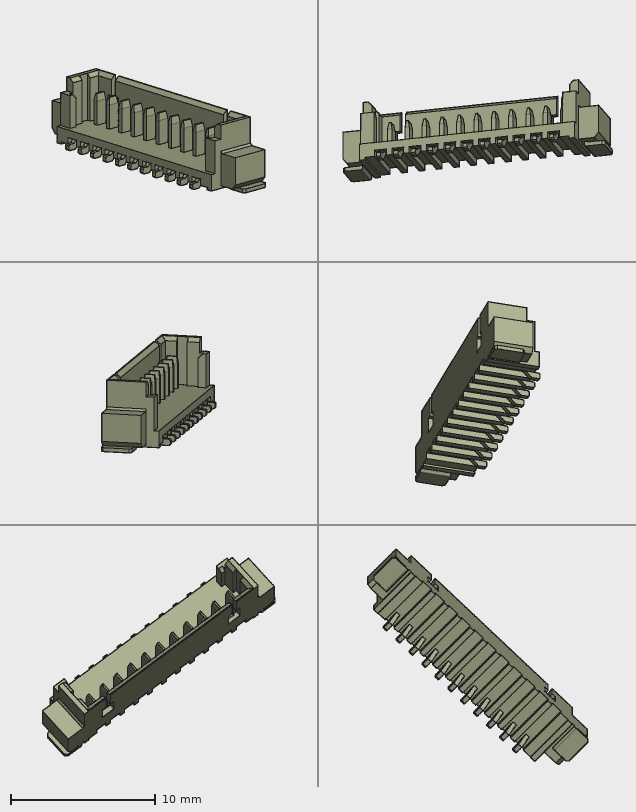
import cadquery as cq

length = 18.9
depth = 4.2
height = 4.7

body_half_length = 7.79
body_front = 0.47
body_bottom = 0.28
floor_top = 1.3
back_wall = 0.4
back_wall_land = 0.08
end_wall = 0.65
end_wall_land = 0.35
end_wall_front = 1.38
rim_bevel_height = 0.28
inner_half_length = body_half_length - end_wall
back_wall_inner = depth - back_wall

notch_front = 2.25
notch_width = 0.75

guide_top = 3.69
guide_front = 0.81
guide_inner_x = 6.82
guide_bevel = 0.3

window_x = 5.65
slit_width = 0.38
window_width = 1.02
window_bottom = 2.1
window_top = 3.23

pocket_x = -5.25
pocket_width = 1.21
pocket_depth = 0.1
pocket_bottom = 1.59
pocket_top = 2.4

foot_width = 0.42
foot_bottom = 0.11

pin_count = 11
pin_row_length = 12.51
pin_pitch = pin_row_length / (pin_count - 1)
pin_width = 0.32
post_front = 2.68
post_depth = 0.83
post_top = 3.55
tip_height = 0.51
tip_width = 0.13
tip_depth = 0.68
lead_top = 0.45
lead_nose_bevel = 0.1
lead_bend_y = 0.6
lead_bend_run = 0.38
channel_width = 0.85
channel_top = 0.74

wing_half_length = 9.25
wing_bottom = 0.32
wing_top = 2.66
wing_ramp = 0.15
wing_bevel_x = 0.3
wing_bevel_z = 0.35
tab_inner_x = 8.01
tab_front = 2.02
tab_corner = 0.17
tab_bend = 0.15
tab_thickness = 0.28

OVERLAP = 0.1
CLEAR = 0.19


def block(x0, x1, y0, y1, z0, z1):
    """Box between two opposite corners."""
    return cq.Workplane("XY").box(x1 - x0, y1 - y0, z1 - z0, centered=False).translate((x0, y0, z0))


def mirrored_pair(solid):
    """The solid together with its mirror image at the other end of the part."""
    return solid.union(solid.mirror("YZ"))


def housing_shell():
    """Floor slab, back wall and two end walls, open at the front, with a bevelled rim."""
    slab = block(-body_half_length, body_half_length, body_front, depth, body_bottom, floor_top)
    walls = block(-body_half_length, body_half_length, end_wall_front, depth, body_bottom, height)
    cavity = block(-inner_half_length, inner_half_length, 0, back_wall_inner, floor_top, height)

    rim_z = height - rim_bevel_height
    mouth_half_length = body_half_length - end_wall_land
    end_bevels = (
        cq.Workplane("XZ")
        .moveTo(-inner_half_length, rim_z)
        .lineTo(inner_half_length, rim_z)
        .lineTo(mouth_half_length, height)
        .lineTo(-mouth_half_length, height)
        .close()
        .extrude(-depth)
    )
    back_bevel = (
        cq.Workplane("YZ")
        .moveTo(0, rim_z)
        .lineTo(back_wall_inner, rim_z)
        .lineTo(depth - back_wall_land, height)
        .lineTo(0, height)
        .close()
        .extrude(body_half_length, both=True)
    )
    mouth = end_bevels.intersect(back_bevel)
    return slab.union(walls.cut(cavity).cut(mouth))


def key_notch():
    """Vertical notch in the inner face of the right end wall."""
    recess_x = body_half_length - end_wall_land
    return block(inner_half_length - CLEAR, recess_x, notch_front, notch_front + notch_width, floor_top, height)


def guide_post():
    """Corner post at the right end, its projecting inner strip bevelled towards the back."""
    post = block(guide_inner_x, body_half_length, guide_front, end_wall_front, floor_top, guide_top)
    bevel = (
        cq.Workplane("YZ")
        .workplane(offset=guide_inner_x)
        .moveTo(end_wall_front, guide_top)
        .lineTo(end_wall_front, guide_top - guide_bevel)
        .lineTo(end_wall_front - guide_bevel, guide_top)
        .close()
        .extrude(inner_half_length - guide_inner_x)
    )
    return post.cut(bevel)


def latch_window():
    """Slit from the rim widening into a window, through the back wall at the right."""
    y0 = back_wall_inner - CLEAR
    y1 = depth + CLEAR
    slit = block(window_x - slit_width / 2, window_x + slit_width / 2, y0, y1, window_bottom, height)
    half = window_width / 2
    return slit.union(block(window_x - half, window_x + half, y0, y1, window_bottom, window_top))


def pin_one_pocket():
    """Shallow pocket marking the first pin."""
    half = pocket_width / 2
    y0 = back_wall_inner
    return block(pocket_x - half, pocket_x + half, y0, y0 + pocket_depth, pocket_bottom, pocket_top)


def foot():
    """Standoff rib under the right end of the housing."""
    inner_x = body_half_length - foot_width
    return block(inner_x, body_half_length, body_front, depth, foot_bottom, floor_top)


def pin_channel():
    """Groove under the floor, open at front and back, centred on X = 0."""
    half = channel_width / 2
    return block(-half, half, 0, depth, 0, channel_top)


def pin():
    """Contact centred on X = 0: tapered post above the floor and a bent solder lead below."""
    shoulder = post_top - tip_height
    post_centre = post_front + post_depth / 2
    root = floor_top - OVERLAP
    post = cq.Workplane("XY").box(pin_width, post_depth, shoulder - root, centered=(True, True, False))
    tip = (
        cq.Workplane("XY")
        .workplane(offset=shoulder - root)
        .rect(pin_width, post_depth)
        .workplane(offset=tip_height)
        .rect(tip_width, tip_depth)
        .loft()
    )
    post = post.union(tip).translate((0, post_centre, root))

    lead_rise = channel_top + OVERLAP
    lead = (
        cq.Workplane("YZ")
        .moveTo(lead_nose_bevel, 0)
        .lineTo(lead_bend_y, 0)
        .lineTo(lead_bend_y + lead_rise, lead_rise)
        .lineTo(body_front + lead_bend_run, lead_rise)
        .lineTo(body_front, lead_top)
        .lineTo(lead_nose_bevel, lead_top)
        .lineTo(0, lead_top - lead_nose_bevel)
        .lineTo(0, lead_nose_bevel)
        .close()
        .extrude(pin_width / 2, both=True)
    )
    return post, lead


def wing():
    """Side block at the right end, ramped into the end wall and bevelled below."""
    inner_x = body_half_length - OVERLAP
    return (
        cq.Workplane("XZ")
        .moveTo(inner_x, wing_bottom)
        .lineTo(wing_half_length - wing_bevel_x, wing_bottom)
        .lineTo(wing_half_length, wing_bottom + wing_bevel_z)
        .lineTo(wing_half_length, wing_top)
        .lineTo(body_half_length + wing_ramp, wing_top)
        .lineTo(body_half_length, wing_top + wing_ramp)
        .lineTo(inner_x, wing_top + wing_ramp)
        .close()
        .extrude(depth - end_wall_front)
        .translate((0, depth, 0))
    )


def solder_tab():
    """Flat tab just clear of the right wing, bent up into it along a rounded inner edge."""
    tab = block(tab_inner_x, length / 2, tab_front, depth, 0, tab_thickness)
    tab = tab.edges("|Z and >X").chamfer(tab_corner).edges("<X and <Z").fillet(tab_bend)
    riser_outer_x = tab_inner_x + tab_thickness
    return tab.union(block(tab_inner_x, riser_outer_x, tab_front, depth, tab_bend, wing_bottom + OVERLAP))


housing = housing_shell().union(mirrored_pair(guide_post())).union(mirrored_pair(foot()))
housing = housing.cut(mirrored_pair(key_notch()))
housing = housing.cut(mirrored_pair(latch_window()))
housing = housing.cut(pin_one_pocket())

result = housing.union(mirrored_pair(wing())).union(mirrored_pair(solder_tab()))

pin_post, pin_lead = pin()
for i in range(pin_count):
    offset = (i * pin_pitch - pin_row_length / 2, 0, 0)
    result = result.cut(pin_channel().translate(offset))
    result = result.union(pin_post.translate(offset)).union(pin_lead.translate(offset))